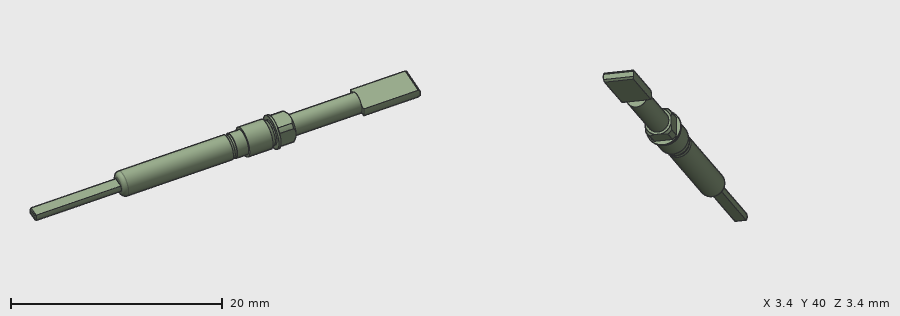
import cadquery as cq

length = 40.0
front_end = -length / 2
back_end = length / 2
barrel_front = front_end + 9.0
groove_front = back_end - 19.5
groove_floor_front = back_end - 19.3
groove_back = back_end - 19.1
collar_front = back_end - 17.9
collar_back = back_end - 15.1
flange_front = back_end - 14.95
flange_back = back_end - 14.7
square_back = back_end - 12.95
blade_front = back_end - 5.9

barrel_diameter = 2.5
groove_diameter = 2.3
collar_diameter = 3.0
flange_diameter = 3.4
shaft_diameter = 2.1
nose_rounding = 0.5
collar_chamfer_length = 0.35

square_width = 2.55
square_corner_diameter = 3.1
square_chamfer = 0.25

blade_width = collar_diameter
blade_thickness = 0.9
blade_end_chamfer = 0.2
pin_width = 1.3
pin_thickness = 0.7
pin_end_chamfer = 0.1


def cylinder(diameter, start, end):
    """Round bar on the Y axis between two Y positions."""
    return cq.Workplane("XZ", origin=(0, start, 0)).circle(diameter / 2).extrude(start - end)


def flattened_bar(width, thickness, start, end):
    """Round bar on the Y axis with flats on its top and bottom."""
    slab = cq.Workplane("XY").box(width, end - start, thickness)
    slab = slab.translate((0, (start + end) / 2, 0))
    return cylinder(width, start, end).intersect(slab)


def make_barrel():
    """Barrel running up to the flange, with a rounded nose and a shallow groove."""
    barrel = cylinder(barrel_diameter, barrel_front, flange_front)
    barrel = barrel.faces("<Y").edges().fillet(nose_rounding)
    outer = barrel_diameter / 2
    floor = groove_diameter / 2
    groove = (
        cq.Workplane("XY")
        .moveTo(outer, groove_front)
        .lineTo(floor, groove_floor_front)
        .lineTo(floor, groove_back)
        .lineTo(outer, groove_back)
        .close()
        .revolve(360, (0, 0, 0), (0, 1, 0))
    )
    return barrel.cut(groove)


def make_collar():
    """Press-fit collar that tapers down to the barrel just short of the flange."""
    collar = cylinder(collar_diameter, collar_front, collar_back)
    taper_depth = (collar_diameter - barrel_diameter) / 2
    return collar.faces(">Y").edges().chamfer(collar_chamfer_length, taper_depth)


def make_square():
    """Square section with its corners turned round and its back end chamfered."""
    round_stock = cylinder(square_corner_diameter, flange_back, square_back)
    round_stock = round_stock.faces(">Y").edges().chamfer(square_chamfer)
    square_length = square_back - flange_back
    square = cq.Workplane("XY").box(square_width, square_length, square_width)
    square = square.translate((0, (flange_back + square_back) / 2, 0))
    return round_stock.intersect(square)


def make_blade():
    """Wide flat blade with its back end chamfered above and below."""
    blade = flattened_bar(blade_width, blade_thickness, blade_front, back_end)
    return blade.faces(">Y").edges("|X").chamfer(blade_end_chamfer)


def make_pin():
    """Narrow flat pin with a chamfered front end."""
    pin = flattened_bar(pin_width, pin_thickness, front_end, barrel_front)
    return pin.faces("<Y").edges().chamfer(pin_end_chamfer)


result = (
    make_pin()
    .union(make_barrel())
    .union(make_collar())
    .union(cylinder(flange_diameter, flange_front, flange_back))
    .union(make_square())
    .union(cylinder(shaft_diameter, square_back, blade_front))
    .union(make_blade())
)